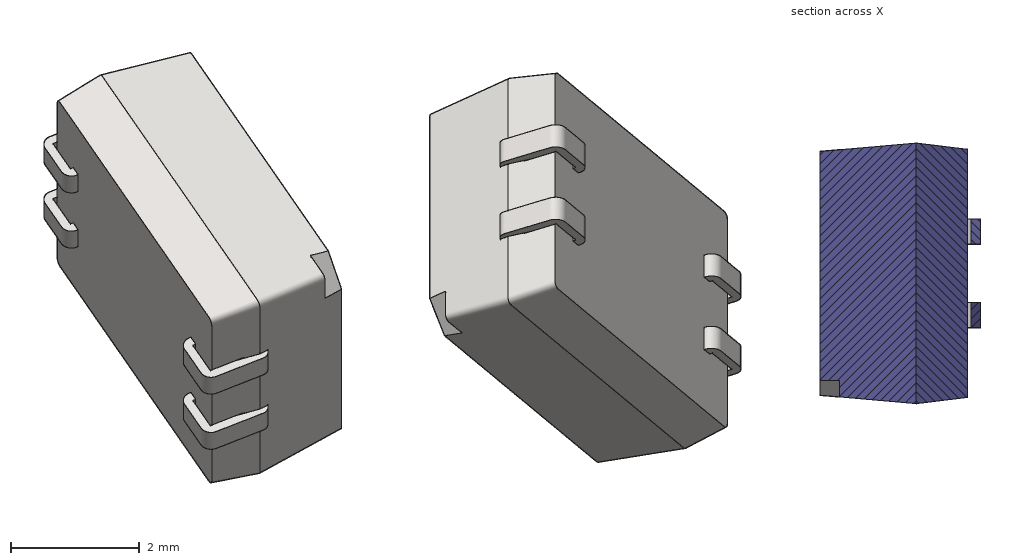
import cadquery as cq
import math


overall_length = 5.6
parting_length = 5.4
parting_width = 4.06
cover_depth = 1.5
base_depth = 0.795
cover_draft = 5.0
base_draft = 7.0
corner_radius = 0.1

notch_leg = 0.45
notch_depth = 0.3

terminal_thickness = 0.15
terminal_width = 0.4
terminal_pitch = 1.3
foot_length = 0.9
foot_drop = 0.2
lip_thickness = 0.16
bend_radius = 0.18


def drafted_half(depth, draft, direction):
    """Block that narrows away from the parting plane; direction is +1 for +Y, -1 for -Y."""
    plane = cq.Plane(origin=(0, 0, 0), xDir=(1, 0, 0), normal=(0, direction, 0))
    block = cq.Workplane(plane).rect(parting_length, parting_width).extrude(depth, taper=draft)
    corner_edges = block.edges("not(#Y)")
    return corner_edges.fillet(corner_radius)


def corner_notch(side):
    """Triangular prism at the corner where X and Z both have the sign of side."""
    cover_inset = cover_depth * math.tan(math.radians(cover_draft))
    corner_x = parting_length / 2 - cover_inset
    corner_z = parting_width / 2 - cover_inset
    outer_x = corner_x + notch_leg
    outer_z = corner_z + notch_leg
    diagonal_sum = corner_x + corner_z - notch_leg
    corners = [
        (side * outer_x, side * (diagonal_sum - outer_x)),
        (side * outer_x, side * outer_z),
        (side * (diagonal_sum - outer_z), side * outer_z),
    ]
    return cq.Workplane("XZ", origin=(0, cover_depth, 0)).polyline(corners).close().extrude(notch_depth)


def make_terminal(side, center_z):
    """Strip with a leg rounded at its top, a foot under the base and a lip up to the base.

    side is +1 for the +X end of the housing and -1 for the -X end.
    """
    outer_x = overall_length / 2
    inner_x = outer_x - terminal_thickness
    tip_x = outer_x - foot_length
    lip_x = tip_x + lip_thickness
    top_y = terminal_thickness
    base_y = -base_depth
    bottom_y = base_y - foot_drop
    foot_top_y = bottom_y + terminal_thickness
    outline = (
        cq.Workplane("XY", origin=(0, 0, center_z - terminal_width / 2))
        .moveTo(side * inner_x, top_y)
        .radiusArc((side * outer_x, 0), side * terminal_thickness)
        .lineTo(side * outer_x, bottom_y + bend_radius)
        .radiusArc((side * (outer_x - bend_radius), bottom_y), side * bend_radius)
        .lineTo(side * (tip_x + bend_radius), bottom_y)
        .radiusArc((side * tip_x, bottom_y + bend_radius), side * bend_radius)
        .lineTo(side * tip_x, base_y)
        .lineTo(side * lip_x, base_y)
        .lineTo(side * lip_x, foot_top_y)
        .lineTo(side * inner_x, foot_top_y)
        .close()
    )
    return outline.extrude(terminal_width)


terminals = []
for side in (-1, 1):
    for row in (-1, 1):
        terminals.append(make_terminal(side, row * terminal_pitch / 2))

cover = drafted_half(cover_depth, cover_draft, 1)
for side in (-1, 1):
    cover = cover.cut(corner_notch(side))

base = drafted_half(base_depth, base_draft, -1)

for terminal in terminals:
    cover = cover.cut(terminal)
    base = base.cut(terminal)

result = cq.Compound.makeCompound(
    [cover.val(), base.val(), *[terminal.val() for terminal in terminals]]
)